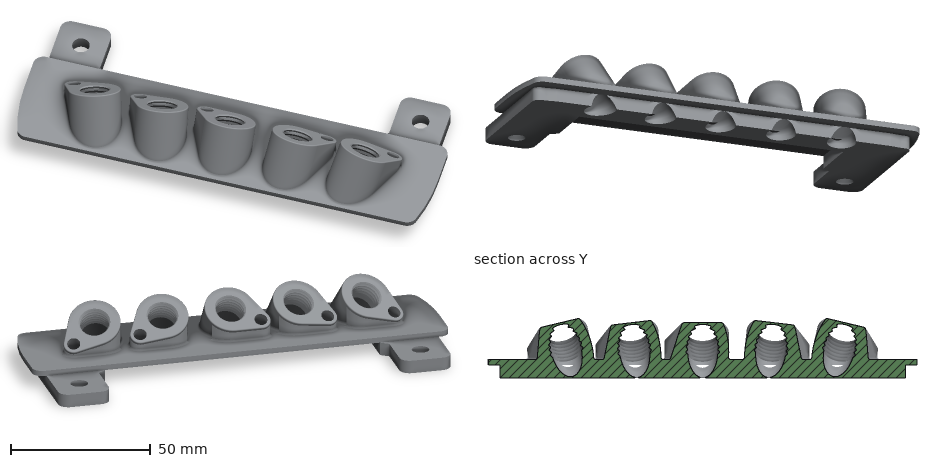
import cadquery as cq
import math

PLATE_LENGTH = 154.0
PLATE_DEPTH = 37.1
PLATE_THICKNESS = 2.0
PLATE_CORNER_RADIUS = 3.8
PLATE_END_CURVE_START = 21.3
PLATE_END_CURVE_DROP = 3.7

BASE_HEIGHT = 4.8
BASE_HALF_LENGTH = 72.6
BAR_FRONT = 5.5
BAR_BACK = 17.7
BAR_FLAT_HALF_LENGTH = 64.4
BAR_END_SETBACK = 0.5
BAR_END_SHOULDER_X = 68.2
BAR_CORNER_RADIUS = 2.6
TAB_BACK = 56.8
TAB_WIDTH = 18.8
TAB_CORNER_RADIUS = 3.8
TAB_HOLE_DIAMETER = 6.3
TAB_HOLE_Y = 47.1
GUSSET_WIDTH = 2.9
GUSSET_START_Y = 39.1
GUSSET_END_Y = PLATE_DEPTH

BOSS_PITCH = 25.2
BOSS_TILT = 35.0
BOSS_FAN_STEP = 6.7
BOSS_TOP_Y = 20.25
BOSS_TOP_Z = 16.6
BOSS_RADIUS = 9.4
BOSS_SINK = 40.0
SKIRT_OVERLAP = 0.5
SKIRT_DEPTH = 1.2
RIM_FILLET = 0.4
FOOT_FILLET = 0.7
PLATE_RIM_MARGIN = 5.0
EDGE_TOLERANCE = 0.1
BOSS_INDICES = (-2, -1, 0, 1, 2)

TAIL_RADIUS = 3.6
TAIL_X = 10.0
TAIL_Y = BOSS_RADIUS - TAIL_RADIUS
PIN_HOLE_DIAMETER = 4.7
PIN_HOLE_DEPTH = 8.0

BORE_DIAMETER = 10.58
THREAD_MAJOR_DIAMETER = 12.0
THREAD_PITCH = 1.5
THREAD_TURNS = 6
LEAD_IN_DEPTH = 0.4

PLATE_BOTTOM = BASE_HEIGHT
PLATE_TOP = BASE_HEIGHT + PLATE_THICKNESS


def cover_plate():
    half = PLATE_LENGTH / 2
    run = PLATE_END_CURVE_START
    curve_radius = (run**2 + PLATE_END_CURVE_DROP**2) / (2 * PLATE_END_CURVE_DROP)
    mid_y = run / 2
    mid_x = half - curve_radius + math.sqrt(curve_radius**2 - mid_y**2)
    front_x = half - PLATE_END_CURVE_DROP
    outline = (
        cq.Workplane("XY", origin=(0, 0, PLATE_BOTTOM))
        .moveTo(-front_x, 0)
        .lineTo(front_x, 0)
        .threePointArc((mid_x, mid_y), (half, run))
        .lineTo(half, PLATE_DEPTH)
        .lineTo(-half, PLATE_DEPTH)
        .lineTo(-half, run)
        .threePointArc((-mid_x, mid_y), (-front_x, 0))
        .close()
    )
    plate = outline.extrude(PLATE_THICKNESS)
    corners = plate.edges("|Z").edges("<Y or >Y")
    return corners.fillet(PLATE_CORNER_RADIUS)


def base_half():
    """Right half of the base frame: half of the bar and one tab."""
    tab_inner = BASE_HALF_LENGTH - TAB_WIDTH
    gusset_x = tab_inner - GUSSET_WIDTH
    end_front = BAR_FRONT + BAR_END_SETBACK
    frame = (
        cq.Workplane("XY")
        .polyline([
            (0, BAR_FRONT),
            (BAR_FLAT_HALF_LENGTH, BAR_FRONT),
            (BAR_END_SHOULDER_X, end_front),
            (BASE_HALF_LENGTH, end_front),
            (BASE_HALF_LENGTH, TAB_BACK),
            (tab_inner, TAB_BACK),
            (tab_inner, GUSSET_START_Y),
            (gusset_x, GUSSET_END_Y),
            (gusset_x, BAR_BACK),
            (0, BAR_BACK),
        ])
        .close()
        .extrude(BASE_HEIGHT)
    )
    frame = frame.edges("|Z").edges(">Y").fillet(TAB_CORNER_RADIUS)
    bar_corner = (BASE_HALF_LENGTH, end_front, BASE_HEIGHT / 2)
    frame = frame.edges(cq.selectors.NearestToPointSelector(bar_corner)).fillet(BAR_CORNER_RADIUS)
    hole = (
        cq.Workplane("XY")
        .center(BASE_HALF_LENGTH - TAB_WIDTH / 2, TAB_HOLE_Y)
        .circle(TAB_HOLE_DIAMETER / 2)
        .extrude(BASE_HEIGHT)
    )
    return frame.cut(hole)


def boss_plane(index):
    """Plane of a boss top face: tilted back, then leaned sideways."""
    tilt = math.radians(BOSS_TILT)
    fan = math.radians(BOSS_FAN_STEP * index)
    return cq.Plane(
        origin=(BOSS_PITCH * index, BOSS_TOP_Y, BOSS_TOP_Z),
        xDir=(math.cos(fan), 0, -math.sin(fan)),
        normal=(math.cos(tilt) * math.sin(fan), math.sin(tilt), math.cos(tilt) * math.cos(fan)),
    )


def tail_side(index):
    return 1 if index > 0 else -1


def teardrop(plane, side):
    """Boss outline: a large and a small circle joined by their outer tangents."""
    distance = math.hypot(TAIL_X, TAIL_Y)
    spread = math.acos((BOSS_RADIUS - TAIL_RADIUS) / distance)
    tail_angle = math.atan2(TAIL_Y, TAIL_X)

    def point(radius, angle, on_tail):
        x = radius * math.cos(angle) + (TAIL_X if on_tail else 0)
        y = radius * math.sin(angle) + (TAIL_Y if on_tail else 0)
        return (side * x, y)

    back = tail_angle + spread
    front = tail_angle - spread
    return (
        cq.Workplane(plane)
        .moveTo(*point(BOSS_RADIUS, back, False))
        .lineTo(*point(TAIL_RADIUS, back, True))
        .threePointArc(point(TAIL_RADIUS, tail_angle, True), point(TAIL_RADIUS, front, True))
        .lineTo(*point(BOSS_RADIUS, front, False))
        .threePointArc(point(BOSS_RADIUS, tail_angle + math.pi, False), point(BOSS_RADIUS, back, False))
        .close()
    )


def boss(index):
    plane = boss_plane(index)
    side = tail_side(index)
    top_face = cq.selectors.DirectionMinMaxSelector(plane.zDir, True)
    sharp_prism = teardrop(plane, side).extrude(-BOSS_SINK)
    prism = sharp_prism.faces(top_face).edges().fillet(RIM_FILLET)

    back_strip = (
        cq.Workplane(plane)
        .center(0, TAIL_Y - SKIRT_OVERLAP + BOSS_RADIUS)
        .rect(4 * BOSS_RADIUS, 2 * BOSS_RADIUS)
        .extrude(-BOSS_SINK)
    )
    rim_base = sharp_prism.intersect(back_strip).faces(top_face).val().translate(plane.zDir * -SKIRT_DEPTH)
    skirt = cq.Solid.extrudeLinear(rim_base.outerWire(), [], cq.Vector(0, 0, -BOSS_SINK))
    body = prism.union(cq.Workplane(skirt))

    above_plate_middle = (
        cq.Workplane("XY", origin=(*plane.origin.toTuple()[:2], PLATE_BOTTOM + PLATE_THICKNESS / 2))
        .rect(2 * BOSS_SINK, 2 * BOSS_SINK)
        .extrude(BOSS_SINK)
    )
    return body.intersect(above_plate_middle)


def threaded_bore(index):
    """Through bore with ring grooves standing in for the thread."""
    top = boss_plane(index)
    axial_plane = cq.Plane(origin=top.origin, xDir=top.xDir, normal=-top.yDir)
    minor = BORE_DIAMETER / 2
    major = THREAD_MAJOR_DIAMETER / 2
    profile = [(0, 0), (minor + LEAD_IN_DEPTH, 0), (minor, -LEAD_IN_DEPTH)]
    for groove in range(THREAD_TURNS):
        start = -LEAD_IN_DEPTH - groove * THREAD_PITCH
        profile.append((major, start - THREAD_PITCH / 2))
        profile.append((minor, start - THREAD_PITCH))
    profile += [(minor, -BOSS_SINK), (0, -BOSS_SINK)]
    return cq.Workplane(axial_plane).polyline(profile).close().revolve(360, (0, 0), (0, 1))


def pin_hole(index):
    return (
        cq.Workplane(boss_plane(index))
        .center(tail_side(index) * TAIL_X, TAIL_Y)
        .circle(PIN_HOLE_DIAMETER / 2)
        .extrude(-PIN_HOLE_DEPTH)
    )


def fillet_boss_feet(part):
    """Round the edges where the bosses meet the plate, leaving the plate rim sharp."""
    half_length = PLATE_LENGTH / 2 - PLATE_RIM_MARGIN
    foot_zone = cq.selectors.BoxSelector(
        (-half_length, PLATE_RIM_MARGIN, PLATE_TOP - EDGE_TOLERANCE),
        (half_length, PLATE_DEPTH - PLATE_RIM_MARGIN, PLATE_TOP + EDGE_TOLERANCE),
    )
    return part.edges(foot_zone).fillet(FOOT_FILLET)


right_base = base_half()
result = cover_plate().union(right_base).union(right_base.mirror("YZ"))
for i in BOSS_INDICES:
    result = result.union(boss(i))

result = fillet_boss_feet(result)

for i in BOSS_INDICES:
    result = result.cut(threaded_bore(i)).cut(pin_hole(i))